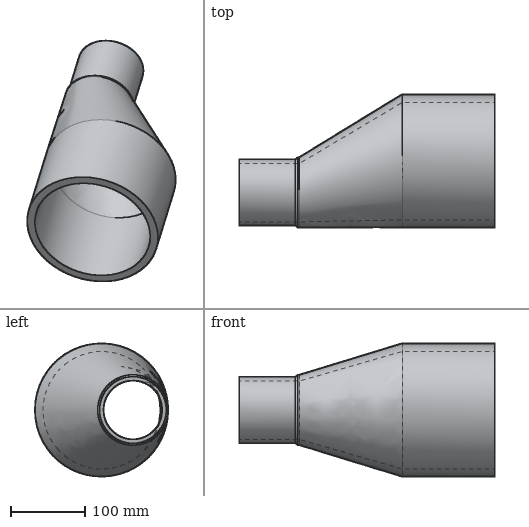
import cadquery as cq

total_length = 345.0
large_diameter = 180.0
large_wall = 10.7
large_length = 125.2
small_diameter = 90.0
small_wall = 5.5
small_length = 76.0

collar_step = 2.6
collar_bevel_length = 3.5
collar_land_length = 1.7

large_radius = large_diameter / 2
small_radius = small_diameter / 2
collar_radius = small_radius + collar_step
small_axis_y = collar_radius - large_radius

small_end = -total_length / 2
bevel_start = small_end + small_length
land_start = bevel_start + collar_bevel_length
cone_start = land_start + collar_land_length
large_end = total_length / 2
cone_end = large_end - large_length


def section(start, end):
    """Straight-sided solid between two YZ circles, each given as (x, radius, centre y)."""
    start_x, start_radius, start_y = start
    end_x, end_radius, end_y = end
    return (
        cq.Workplane("YZ", origin=(start_x, start_y, 0))
        .circle(start_radius)
        .workplane(offset=end_x - start_x)
        .center(end_y - start_y, 0)
        .circle(end_radius)
        .loft(ruled=True, combine=True)
    )


def body_through(circles):
    """One solid running through a series of circles along X."""
    body = section(circles[0], circles[1])
    for start, end in zip(circles[1:], circles[2:]):
        body = body.union(section(start, end))
    return body


outside = body_through([
    (small_end, small_radius, small_axis_y),
    (bevel_start, small_radius, small_axis_y),
    (land_start, collar_radius, small_axis_y),
    (cone_start, collar_radius, small_axis_y),
    (cone_end, large_radius, 0),
    (large_end, large_radius, 0),
])

small_bore_radius = small_radius - small_wall
large_bore_radius = large_radius - large_wall
bore = body_through([
    (small_end, small_bore_radius, small_axis_y),
    (cone_start, small_bore_radius, small_axis_y),
    (cone_end, large_bore_radius, 0),
    (large_end, large_bore_radius, 0),
])

result = outside.cut(bore)